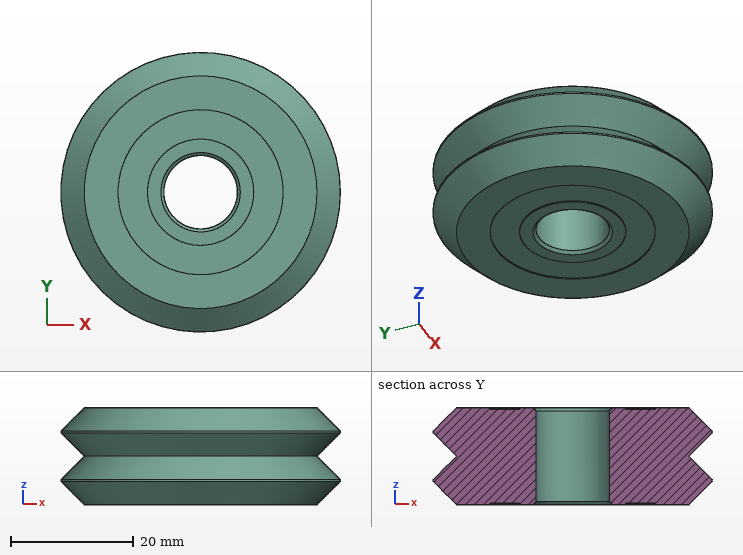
import cadquery as cq

rim_diameter = 45.8
wheel_width = 15.9
rim_land = 0.27
face_diameter = 38.1
groove_diameter = face_diameter

bore_diameter = 12.0
bore_chamfer = 0.5
hub_diameter = 17.4
recess_diameter = 27.0
recess_depth = 0.25

half_width = wheel_width / 2
crest_height = half_width / 2


def wheel_body():
    """Double-crested rim, revolved about the Z axis."""
    rim_radius = rim_diameter / 2
    face_radius = face_diameter / 2
    groove_radius = groove_diameter / 2
    land_inner = crest_height - rim_land / 2
    land_outer = crest_height + rim_land / 2
    profile = [
        (0, -half_width),
        (face_radius, -half_width),
        (rim_radius, -land_outer),
        (rim_radius, -land_inner),
        (groove_radius, 0),
        (rim_radius, land_inner),
        (rim_radius, land_outer),
        (face_radius, half_width),
        (0, half_width),
    ]
    return cq.Workplane("XZ").polyline(profile).close().revolve(360, (0, 0), (0, 1))


def ring_recess():
    """Shallow annular recess around the hub, at the upper face."""
    return (
        cq.Workplane("XY", origin=(0, 0, half_width - recess_depth))
        .circle(recess_diameter / 2)
        .circle(hub_diameter / 2)
        .extrude(recess_depth)
    )


def bore():
    """Through hole with a chamfered mouth at both ends."""
    hole_radius = bore_diameter / 2
    mouth_radius = hole_radius + bore_chamfer
    profile = [
        (0, -half_width),
        (mouth_radius, -half_width),
        (hole_radius, -half_width + bore_chamfer),
        (hole_radius, half_width - bore_chamfer),
        (mouth_radius, half_width),
        (0, half_width),
    ]
    return cq.Workplane("XZ").polyline(profile).close().revolve(360, (0, 0), (0, 1))


upper_recess = ring_recess()
lower_recess = upper_recess.mirror("XY")
result = wheel_body().cut(upper_recess).cut(lower_recess).cut(bore())